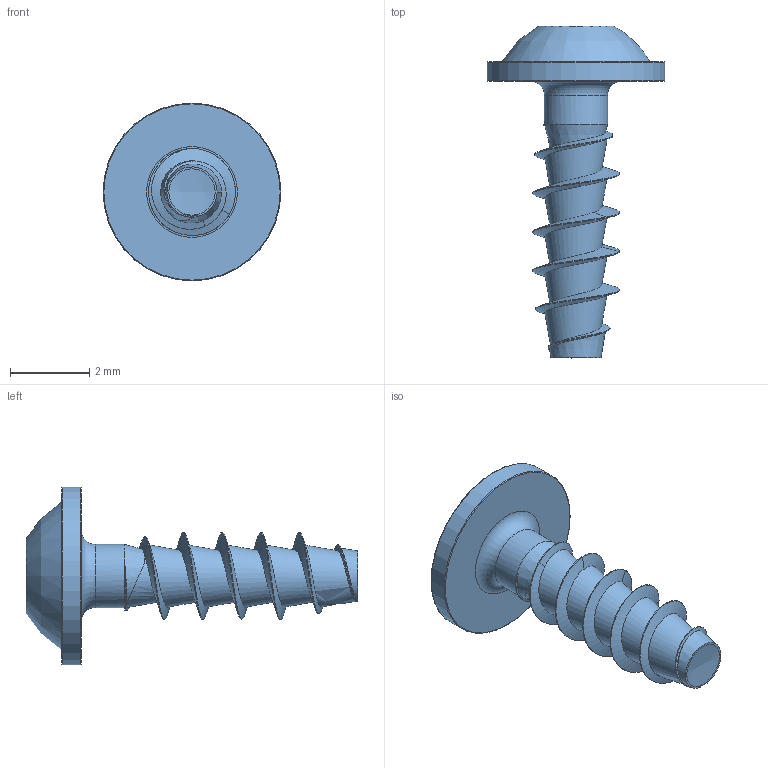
import cadquery as cq
import math


FLANGE_RADIUS = 2.25
FLANGE_THICKNESS = 0.5
FLANGE_EDGE_FILLET = 0.02
HEAD_HEIGHT = 1.4
DOME_BASE_RADIUS = 1.87
DOME_MID_RADIUS = 1.56
DOME_MID_HEIGHT = 0.93
DOME_TOP_RADIUS = 0.95

SHANK_LENGTH = 7.0
SHANK_RADIUS = 0.8
NECK_FILLET = 0.35
PLAIN_SHANK_DEPTH = 1.09
TIP_RADIUS = 0.635
TIP_DISH_RADIUS = 0.585
TIP_DISH_DEPTH = 0.05
TIP_TAPER = 0.16

PITCH = 0.98
CORE_RADIUS = 0.61
RAMP_BASE_RADIUS = 0.4
RAMP_TOP_RADIUS = 0.805
RAMP_TAPER = 0.176
RAMP_GAP = 0.03
RAMP_START_TURN = -1.0
RAMP_END_TURN = 6.0
LEAD_CONE_LENGTH = 0.52
LEAD_CONE_RADIUS = 0.66

FIRST_CREST_DEPTH = 1.36
MAJOR_RADIUS = 1.1
FLANK_HALF_ANGLE = 15.0
CREST_WIDTH = 0.02
THREAD_BASE_RADIUS = 0.5
LEAD_IN_DEPTH = 1.11
START_TURN = -0.55
FULL_START_TURN = 0.75
FULL_END_TURN = 4.25
END_TURN = 5.7
START_CREST_RADIUS = 0.81
END_CREST_RADIUS = 0.645

PATCH_TURNS = 1.0
STEPS_PER_PATCH = 20


def revolve_profile(profile):
    """Turn a (radius, Y) profile about the Y axis."""
    return profile.close().revolve(360, (0, 0, 0), (0, 1, 0))


def helix_depth(turn):
    """Depth of the thread crest centre after a number of turns."""
    return FIRST_CREST_DEPTH + PITCH * turn


def helical_point(turn, radius, depth):
    """Point on a right-handed screw path that advances towards -Y."""
    angle = 2 * math.pi * turn
    return cq.Vector(radius * math.cos(angle), -depth, radius * math.sin(angle))


def helical_solid(section, start_turn, end_turn):
    """Solid whose (radius, depth) section, a function of the turn, winds about Y.

    The skin is built in spans of at most PATCH_TURNS, each a set of ruled faces.
    """
    spans = math.ceil((end_turn - start_turn) / PATCH_TURNS)
    span_turns = (end_turn - start_turn) / spans
    faces = []
    for span in range(spans):
        span_start = start_turn + span * span_turns
        step = span_turns / STEPS_PER_PATCH
        turns = [span_start + step * i for i in range(STEPS_PER_PATCH + 1)]
        sections = [[helical_point(turn, *corner) for corner in section(turn)] for turn in turns]
        rails = [cq.Edge.makeSpline(list(path)) for path in zip(*sections)]
        next_rails = rails[1:] + rails[:1]
        faces += [cq.Face.makeRuledSurface(a, b) for a, b in zip(rails, next_rails)]
        if span == 0:
            faces.append(cq.Face.makeFromWires(cq.Wire.makePolygon(sections[0], close=True)))
    faces.append(cq.Face.makeFromWires(cq.Wire.makePolygon(sections[-1], close=True)))
    solid = cq.Solid.makeSolid(cq.Shell.makeShell(faces))
    return cq.Workplane(solid.fix())


def crest_radius(turn):
    """Crest grows at the start, stays at full size, and fades out at the tip."""
    if turn < FULL_START_TURN:
        share = (turn - START_TURN) / (FULL_START_TURN - START_TURN)
        return START_CREST_RADIUS + share * (MAJOR_RADIUS - START_CREST_RADIUS)
    if turn > FULL_END_TURN:
        share = (turn - FULL_END_TURN) / (END_TURN - FULL_END_TURN)
        return MAJOR_RADIUS + share * (END_CREST_RADIUS - MAJOR_RADIUS)
    return MAJOR_RADIUS


def thread_section(turn):
    """Sharp trapezoid of the thread, as (radius, depth) corners."""
    crest = crest_radius(turn)
    flank_height = crest - THREAD_BASE_RADIUS
    depth = max(helix_depth(turn), LEAD_IN_DEPTH)
    half_crest = CREST_WIDTH / 2
    half_root = half_crest + flank_height * math.tan(math.radians(FLANK_HALF_ANGLE))
    return [
        (THREAD_BASE_RADIUS, depth - half_root),
        (crest, depth - half_crest),
        (crest, depth + half_crest),
        (THREAD_BASE_RADIUS, depth + half_root),
    ]


def ramp_section(turn):
    """One tooth of the core between two thread turns, as (radius, depth) corners."""
    top = helix_depth(turn) + RAMP_GAP
    bottom = helix_depth(turn) + PITCH - RAMP_GAP
    return [
        (RAMP_BASE_RADIUS, top),
        (RAMP_TOP_RADIUS - RAMP_TAPER * RAMP_GAP, top),
        (RAMP_TOP_RADIUS - RAMP_TAPER * (PITCH - RAMP_GAP), bottom),
        (RAMP_BASE_RADIUS, bottom),
    ]


def make_head():
    """Domed head, flange, neck fillet and plain shank."""
    flange = (
        cq.Workplane("XZ")
        .circle(FLANGE_RADIUS)
        .extrude(-FLANGE_THICKNESS)
        .edges()
        .fillet(FLANGE_EDGE_FILLET)
    )
    dome = revolve_profile(
        cq.Workplane("XY")
        .moveTo(0, FLANGE_THICKNESS / 2)
        .lineTo(DOME_BASE_RADIUS, FLANGE_THICKNESS / 2)
        .lineTo(DOME_BASE_RADIUS, FLANGE_THICKNESS)
        .threePointArc((DOME_MID_RADIUS, DOME_MID_HEIGHT), (DOME_TOP_RADIUS, HEAD_HEIGHT))
        .lineTo(0, HEAD_HEIGHT)
    )
    diagonal = NECK_FILLET * (1 - math.sqrt(0.5))
    neck = revolve_profile(
        cq.Workplane("XY")
        .moveTo(0, FLANGE_THICKNESS / 2)
        .lineTo(SHANK_RADIUS + NECK_FILLET, FLANGE_THICKNESS / 2)
        .lineTo(SHANK_RADIUS + NECK_FILLET, 0)
        .threePointArc((SHANK_RADIUS + diagonal, -diagonal), (SHANK_RADIUS, -NECK_FILLET))
        .lineTo(SHANK_RADIUS, -PLAIN_SHANK_DEPTH)
        .lineTo(0, -PLAIN_SHANK_DEPTH)
    )
    return flange.union(dome).union(neck)


def make_tip_envelope():
    """Tapered outline that limits the core towards the tip."""
    taper_length = SHANK_LENGTH - PLAIN_SHANK_DEPTH
    return revolve_profile(
        cq.Workplane("XY")
        .moveTo(0, -PLAIN_SHANK_DEPTH)
        .lineTo(TIP_RADIUS + TIP_TAPER * taper_length, -PLAIN_SHANK_DEPTH)
        .lineTo(TIP_RADIUS, -SHANK_LENGTH)
        .lineTo(0, -SHANK_LENGTH)
    )


def make_tip_dish():
    """Sphere that cuts a shallow dish into the tip face."""
    sphere_radius = (TIP_DISH_RADIUS**2 + TIP_DISH_DEPTH**2) / (2 * TIP_DISH_DEPTH)
    center_depth = SHANK_LENGTH - TIP_DISH_DEPTH + sphere_radius
    return cq.Workplane("XY", origin=(0, -center_depth, 0)).sphere(sphere_radius)


def make_core():
    """Saw-tooth core with the cone that leads into it from the plain shank."""
    cylinder = (
        cq.Workplane("XZ", origin=(0, -PLAIN_SHANK_DEPTH / 2, 0))
        .circle(CORE_RADIUS)
        .extrude(SHANK_LENGTH)
    )
    ramp = helical_solid(ramp_section, RAMP_START_TURN, RAMP_END_TURN)
    lead_cone_end = PLAIN_SHANK_DEPTH + LEAD_CONE_LENGTH
    lead_cone = revolve_profile(
        cq.Workplane("XY")
        .moveTo(0, -PLAIN_SHANK_DEPTH)
        .lineTo(SHANK_RADIUS, -PLAIN_SHANK_DEPTH)
        .lineTo(LEAD_CONE_RADIUS, -lead_cone_end)
        .lineTo(0, -lead_cone_end)
    )
    return cylinder.union(ramp).intersect(make_tip_envelope()).union(lead_cone)


def make_thread():
    """Thread ridge, kept between the neck fillet and the tip face."""
    limits = (
        cq.Workplane("XZ", origin=(0, -NECK_FILLET, 0))
        .circle(2 * MAJOR_RADIUS)
        .extrude(SHANK_LENGTH - NECK_FILLET)
    )
    return helical_solid(thread_section, START_TURN, END_TURN).intersect(limits)


result = make_head().union(make_core()).union(make_thread()).cut(make_tip_dish())